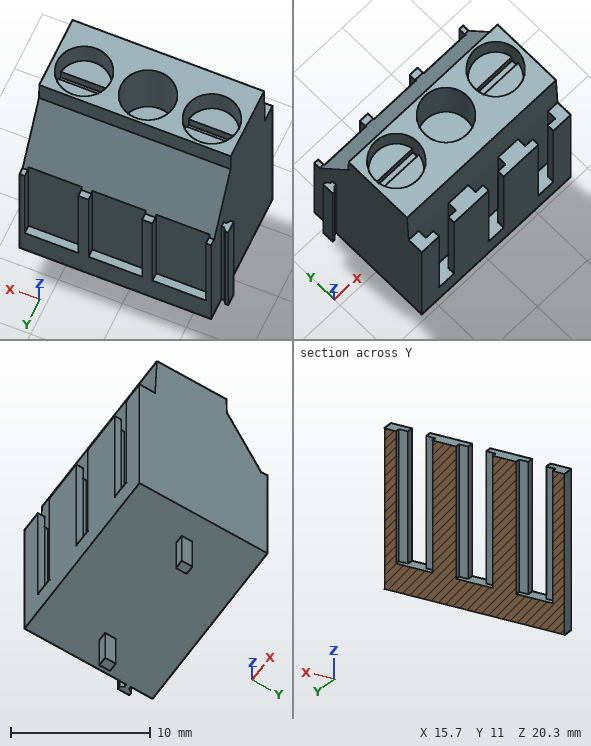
import cadquery as cq


pitch = 5.0
pole_count = 3
pole_x = [(i + 0.5) * pitch for i in range(pole_count)]
fitted_pole_x = [pole_x[0], pole_x[-1]]

housing_length = pole_count * pitch
housing_depth = 11.0
overall_height = 20.32
housing_height = 17.09
front_ledge_height = 12.82
front_ledge_depth = 1.35
top_front_y = 1.5
top_back_y = 7.48
slope_top_y = 7.52
slope_top_height = 15.38
slope_foot_y = 10.45
back_ledge_height = 10.12

slot_floor_height = 2.3
slot_mouth_width = 1.5
slot_mouth_depth = 0.59
slot_inner_width = 3.0

entry_width = 4.19
entry_depth = 0.67
entry_floor_height = 2.3

rail_height = 9.95
rail_y = 8.95
rail_projection = 0.65
rail_neck_length = 0.2
rail_rim_length = 0.22
rail_width = 0.98
rail_neck_width = 0.4

hole_diameter = 4.2
hole_y = 5.15
hole_depth = 5.0
screw_diameter = 3.96
screw_recess = 1.79
driver_slot_width = 0.63
driver_slot_depth = 0.8

pin_width = 0.75
pin_thickness = 0.91
pin_length = overall_height - housing_height
pin_y = 5.49


def box_between(x_center, width, y_start, y_end, z_start, z_end):
    """Upright box centred on x_center that spans the given Y and Z ranges."""
    return (
        cq.Workplane("XY", origin=(x_center, (y_start + y_end) / 2, z_start))
        .rect(width, y_end - y_start)
        .extrude(z_end - z_start)
    )


def make_block():
    """Solid housing profile in the YZ plane, extruded along the row of poles."""
    profile = [
        (0, 0),
        (housing_depth, 0),
        (housing_depth, back_ledge_height),
        (slope_foot_y, back_ledge_height),
        (slope_top_y, slope_top_height),
        (top_back_y, housing_height),
        (top_front_y, housing_height),
        (front_ledge_depth, front_ledge_height),
        (0, front_ledge_height),
    ]
    return cq.Workplane("YZ").polyline(profile).close().extrude(housing_length)


def make_rail():
    """Dovetail rail: narrow neck at the housing, flaring to a wide rim."""
    flare_start_x = -rail_neck_length
    flare_end_x = rail_rim_length - rail_projection
    half_outline = [
        (0, rail_neck_width / 2),
        (flare_start_x, rail_neck_width / 2),
        (flare_end_x, rail_width / 2),
        (-rail_projection, rail_width / 2),
    ]
    mirrored_half = [(x, -y) for x, y in reversed(half_outline)]
    return (
        cq.Workplane("XY", origin=(0, rail_y, 0))
        .polyline(half_outline + mirrored_half)
        .close()
        .extrude(rail_height)
    )


def front_slot(x):
    """T-shaped slot, open at the front face and at the front ledge."""
    mouth = box_between(x, slot_mouth_width, 0, slot_mouth_depth, slot_floor_height, front_ledge_height)
    inner = box_between(
        x, slot_inner_width, slot_mouth_depth, front_ledge_depth, slot_floor_height, front_ledge_height
    )
    return mouth.union(inner)


def wire_entry(x):
    """Notch in the back face that breaks out through the back ledge and the foot of the slope."""
    return box_between(
        x, entry_width, housing_depth - entry_depth, housing_depth, entry_floor_height, slope_top_height
    )


def screw_hole(x):
    """Blind hole for a clamp screw, open at the top face."""
    return (
        cq.Workplane("XY", origin=(x, hole_y, housing_height - hole_depth))
        .circle(hole_diameter / 2)
        .extrude(hole_depth)
    )


def make_housing():
    housing = make_block().union(make_rail())
    for x in pole_x:
        housing = housing.cut(front_slot(x)).cut(wire_entry(x)).cut(screw_hole(x))
    return housing


def make_screw(x):
    """Slotted screw that stands on the floor of its hole."""
    screw_height = hole_depth - screw_recess
    screw_top = housing_height - screw_recess
    screw = (
        cq.Workplane("XY", origin=(x, hole_y, housing_height - hole_depth))
        .circle(screw_diameter / 2)
        .extrude(screw_height)
    )
    driver_slot = box_between(
        x,
        screw_diameter,
        hole_y - driver_slot_width / 2,
        hole_y + driver_slot_width / 2,
        screw_top - driver_slot_depth,
        screw_top,
    )
    return screw.cut(driver_slot)


def make_pin(x):
    """Rectangular solder pin that hangs from the housing base."""
    return box_between(x, pin_width, pin_y - pin_thickness / 2, pin_y + pin_thickness / 2, -pin_length, 0)


housing = make_housing()
screws = [make_screw(x) for x in fitted_pole_x]
pins = [make_pin(x) for x in fitted_pole_x]

result = cq.Compound.makeCompound(
    [housing.val()] + [screw.val() for screw in screws] + [pin.val() for pin in pins]
)